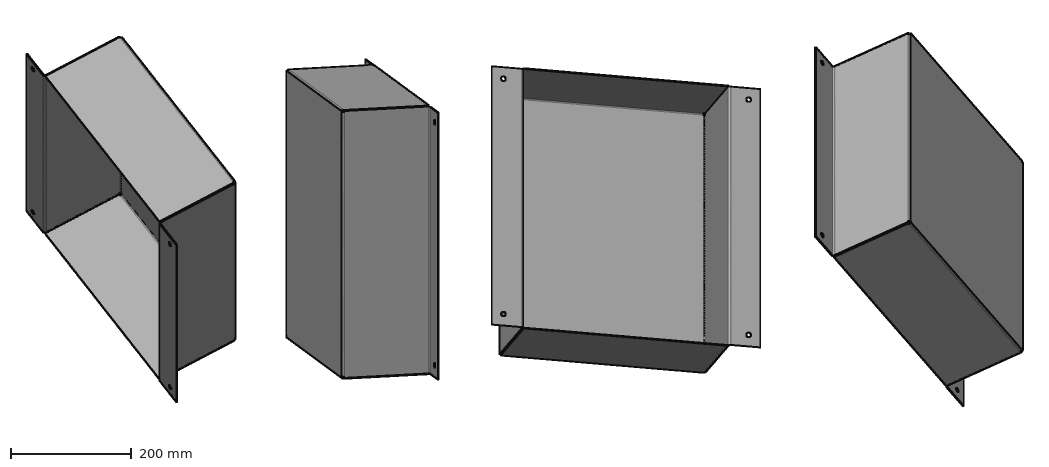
import cadquery as cq

sheet = 2.0
bend_inner = 2.0
bend_outer = bend_inner + sheet
total_width = 460.0
depth = 152.0
side_height = 450.0
box_width = 354.0
hole_diameter = 8.0
hole_edge_offset = 20.0

total_height = side_height + 2 * sheet
end_wall_width = box_width - 2 * sheet
back_y = depth / 2
front_y = -depth / 2
end_wall_front_y = front_y + sheet


def make_channel():
    """Back panel with the two side walls, bent outward into mounting flanges at the front."""
    half_box = box_width / 2
    half_total = total_width / 2
    inner_half = half_box - sheet
    return (
        cq.Workplane("XY")
        .workplane(offset=-side_height / 2)
        .moveTo(-half_total, front_y)
        .lineTo(-inner_half - bend_outer, front_y)
        .radiusArc((-inner_half, front_y + bend_outer), -bend_outer)
        .lineTo(-inner_half, back_y - bend_outer)
        .radiusArc((-inner_half + bend_inner, back_y - sheet), bend_inner)
        .lineTo(inner_half - bend_inner, back_y - sheet)
        .radiusArc((inner_half, back_y - bend_outer), bend_inner)
        .lineTo(inner_half, front_y + bend_outer)
        .radiusArc((inner_half + bend_outer, front_y), -bend_outer)
        .lineTo(half_total, front_y)
        .lineTo(half_total, front_y + sheet)
        .lineTo(half_box + bend_inner, front_y + sheet)
        .radiusArc((half_box, front_y + bend_outer), bend_inner)
        .lineTo(half_box, back_y - bend_outer)
        .radiusArc((half_box - bend_outer, back_y), -bend_outer)
        .lineTo(-half_box + bend_outer, back_y)
        .radiusArc((-half_box, back_y - bend_outer), -bend_outer)
        .lineTo(-half_box, front_y + bend_outer)
        .radiusArc((-half_box - bend_inner, front_y + sheet), bend_inner)
        .lineTo(-half_total, front_y + sheet)
        .close()
        .extrude(side_height)
    )


def make_end_walls():
    """Top and bottom walls, bent forward from the back panel."""
    half = total_height / 2
    inner_half = half - sheet
    return (
        cq.Workplane("YZ")
        .workplane(offset=-end_wall_width / 2)
        .moveTo(end_wall_front_y, half)
        .lineTo(back_y - bend_outer, half)
        .radiusArc((back_y, half - bend_outer), bend_outer)
        .lineTo(back_y, -half + bend_outer)
        .radiusArc((back_y - bend_outer, -half), bend_outer)
        .lineTo(end_wall_front_y, -half)
        .lineTo(end_wall_front_y, -inner_half)
        .lineTo(back_y - bend_outer, -inner_half)
        .radiusArc((back_y - sheet, -inner_half + bend_inner), -bend_inner)
        .lineTo(back_y - sheet, inner_half - bend_inner)
        .radiusArc((back_y - bend_outer, inner_half), -bend_inner)
        .lineTo(end_wall_front_y, inner_half)
        .close()
        .extrude(end_wall_width)
    )


def make_flange_holes():
    """Cutters for the four mounting holes, one at each flange corner."""
    hole_x_pitch = total_width - 2 * hole_edge_offset
    hole_z_pitch = side_height - 2 * hole_edge_offset
    return (
        cq.Workplane("XZ", origin=(0, front_y, 0))
        .rarray(hole_x_pitch, hole_z_pitch, 2, 2)
        .circle(hole_diameter / 2)
        .extrude(-sheet)
    )


def make_corner_reliefs():
    """Cutters for the square reliefs where the bends meet at the four back corners."""
    return (
        cq.Workplane("XZ", origin=(0, back_y, 0))
        .rarray(box_width - bend_outer, total_height - bend_outer, 2, 2)
        .rect(bend_outer, bend_outer)
        .extrude(bend_outer)
    )


tray = make_channel().union(make_end_walls())
result = tray.cut(make_flange_holes()).cut(make_corner_reliefs())